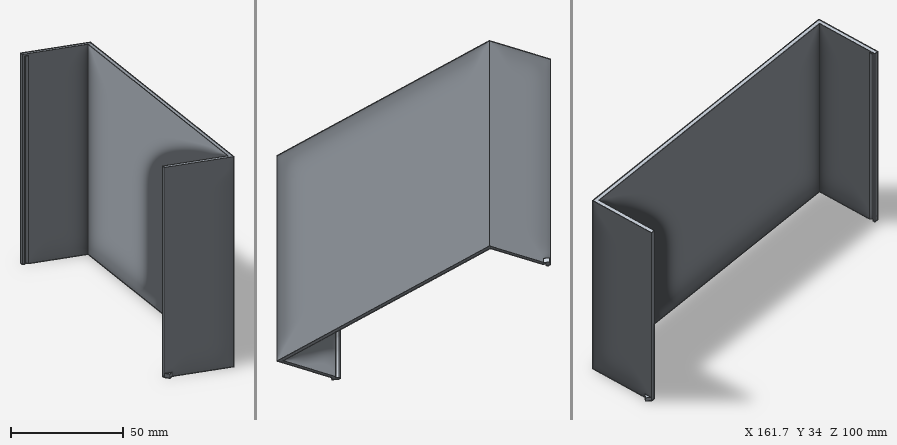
import cadquery as cq

overall_width = 161.68
cover_width = 158.0
depth = 34.0
height = 100.0
wall = 2.0

ridge_height = 2.0
groove_depth = 1.0
groove_top_margin = 1.0
snap_setback = 2.0

ridge_projection = (overall_width - cover_width) / 2
half_width = cover_width / 2
inner_half_width = half_width - wall
front_y = -depth
snap_y = front_y + snap_setback
groove_height = height - groove_top_margin


def make_cover():
    """Back plate on the XZ plane with two side walls reaching toward -Y."""
    outline = [
        (-half_width, 0),
        (half_width, 0),
        (half_width, front_y),
        (inner_half_width, front_y),
        (inner_half_width, -wall),
        (-inner_half_width, -wall),
        (-inner_half_width, front_y),
        (-half_width, front_y),
    ]
    return cq.Workplane("XY").polyline(outline).close().extrude(height)


def make_wedge(side, base_x, rise, length):
    """Upright 45-degree prism from Z = 0 whose tip points outward on the given side (-1 or +1)."""
    triangle = [
        (side * base_x, snap_y - rise),
        (side * (base_x + rise), snap_y),
        (side * base_x, snap_y + rise),
    ]
    return cq.Workplane("XY").polyline(triangle).close().extrude(length)


result = make_cover()
for side in (-1, 1):
    ridge = make_wedge(side, half_width, ridge_projection, ridge_height)
    groove = make_wedge(side, inner_half_width, groove_depth, groove_height)
    result = result.union(ridge).cut(groove)